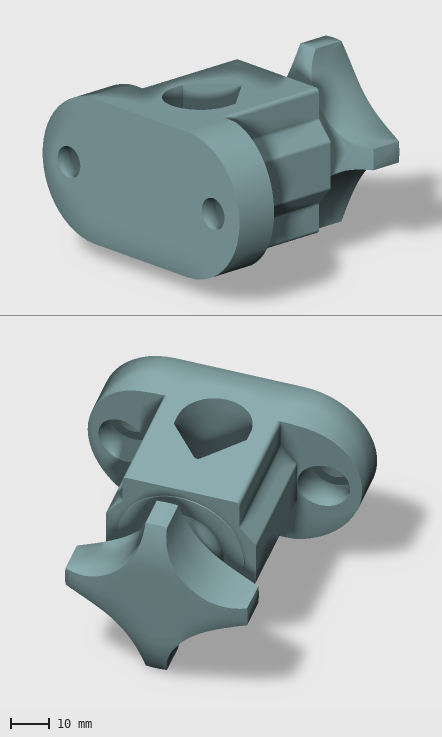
import cadquery as cq
import math

BASE_LENGTH = 75.0
BASE_HEIGHT = 39.9
BASE_STRAIGHT_HALF_LENGTH = 17.3
BASE_THICKNESS = 14.6
BASE_END_THICKNESS = 12.2

MOUNT_HOLE_X = 27.45
MOUNT_HOLE_DIAMETER = 8.6
COUNTERBORE_DIAMETER = 13.8
COUNTERBORE_FLOOR_Y = 4.9

BLOCK_HALF_WIDTH = 20.5
BLOCK_NARROW_HALF_WIDTH = 16.0
BLOCK_FLANK_HALF_HEIGHT = 6.45
BLOCK_STEP_HALF_HEIGHT = 11.55
BLOCK_END_Y = 48.0
BLOCK_CORNER_RADIUS = 1.1
BLOCK_INNER_RADIUS = 0.9
SEAT_DIAMETER = 34.65
SEAT_HEIGHT = 0.4

BORE_RADIUS = 10.0
BORE_CENTER_Y = 21.0
BORE_SHOULDER_Y = 24.15
BORE_APEX_Y = 35.8
BORE_APEX_RADIUS = 1.1

NECK_DIAMETER = 23.6
NECK_START_Y = BLOCK_END_Y + SEAT_HEIGHT
KNOB_START_Y = 55.6
KNOB_END_Y = 71.5
KNOB_RADIUS = 25.0
KNOB_RIM_THICKNESS = 9.1
KNOB_FLAT_RADIUS = 11.25
LOBE_COUNT = 4
LOBE_TIP_WIDTH = 5.85


def xz_plane(y):
    """Sketch plane at the given Y with local axes X and Z; a negative extrusion goes toward +Y."""
    return cq.Workplane("XZ", origin=(0, y, 0))


def cylinder_y(x, diameter, start_y, end_y):
    """Cylinder parallel to Y between two Y positions."""
    return xz_plane(start_y).center(x, 0).circle(diameter / 2).extrude(start_y - end_y)


def make_base():
    """Obround plate whose back face slopes down toward both ends."""
    half_length = BASE_LENGTH / 2
    half_height = BASE_HEIGHT / 2
    obround = (
        xz_plane(0)
        .moveTo(-BASE_STRAIGHT_HALF_LENGTH, -half_height)
        .lineTo(BASE_STRAIGHT_HALF_LENGTH, -half_height)
        .threePointArc((half_length, 0), (BASE_STRAIGHT_HALF_LENGTH, half_height))
        .lineTo(-BASE_STRAIGHT_HALF_LENGTH, half_height)
        .threePointArc((-half_length, 0), (-BASE_STRAIGHT_HALF_LENGTH, -half_height))
        .close()
        .extrude(-BASE_THICKNESS)
    )
    sloped_profile = (
        cq.Workplane("XY")
        .polyline([
            (-half_length, 0),
            (half_length, 0),
            (half_length, BASE_END_THICKNESS),
            (BLOCK_HALF_WIDTH, BASE_THICKNESS),
            (-BLOCK_HALF_WIDTH, BASE_THICKNESS),
            (-half_length, BASE_END_THICKNESS),
        ])
        .close()
        .extrude(half_height, both=True)
    )
    return obround.intersect(sloped_profile)


def make_block():
    """Clamp block with a stepped, slanted flank on each side and a round seat on its end."""
    top = BASE_HEIGHT / 2
    quarter = [
        (BLOCK_HALF_WIDTH, BLOCK_FLANK_HALF_HEIGHT),
        (BLOCK_NARROW_HALF_WIDTH, BLOCK_STEP_HALF_HEIGHT),
        (BLOCK_NARROW_HALF_WIDTH, top),
    ]
    upper = quarter + [(-x, z) for x, z in reversed(quarter)]
    lower = [(-x, -z) for x, z in upper]
    block = xz_plane(0).polyline(upper + lower).close().extrude(-BLOCK_END_Y)

    def edges_at(x, z):
        """Selector for the four mirrored lengthwise edges through (x, z)."""
        middle_y = BLOCK_END_Y / 2
        corners = [(sx * x, middle_y, sz * z) for sx in (-1, 1) for sz in (-1, 1)]
        selector = cq.selectors.NearestToPointSelector(corners[0])
        for corner in corners[1:]:
            selector = selector + cq.selectors.NearestToPointSelector(corner)
        return selector

    outer_corners = edges_at(*quarter[0]) + edges_at(*quarter[2])
    block = block.edges(outer_corners).fillet(BLOCK_CORNER_RADIUS)
    block = block.edges(edges_at(*quarter[1])).fillet(BLOCK_INNER_RADIUS)
    return block.union(cylinder_y(0, SEAT_DIAMETER, BLOCK_END_Y, NECK_START_Y))


def make_bore():
    """Teardrop cutter: round at the base side, pointed toward the knob."""
    return (
        cq.Workplane("XY")
        .moveTo(BORE_RADIUS, BORE_CENTER_Y)
        .lineTo(BORE_RADIUS, BORE_SHOULDER_Y)
        .lineTo(0, BORE_APEX_Y)
        .lineTo(-BORE_RADIUS, BORE_SHOULDER_Y)
        .lineTo(-BORE_RADIUS, BORE_CENTER_Y)
        .threePointArc((0, BORE_CENTER_Y - BORE_RADIUS), (BORE_RADIUS, BORE_CENTER_Y))
        .close()
        .extrude(BASE_HEIGHT / 2, both=True)
        .edges("|Z and >Y")
        .fillet(BORE_APEX_RADIUS)
    )


def make_housing():
    """Base and clamp block in one piece, with the bore and the counterbored mounting holes."""
    housing = make_base().union(make_block()).cut(make_bore())
    for x in (-MOUNT_HOLE_X, MOUNT_HOLE_X):
        housing = housing.cut(cylinder_y(x, MOUNT_HOLE_DIAMETER, 0, BASE_THICKNESS))
        housing = housing.cut(cylinder_y(x, COUNTERBORE_DIAMETER, COUNTERBORE_FLOOR_Y, BASE_THICKNESS))
    return housing


def dome_midpoint(rim_end_y):
    """Halfway point of the dome arc that leaves the flat end face tangentially."""
    run = KNOB_RADIUS - KNOB_FLAT_RADIUS
    drop = KNOB_END_Y - rim_end_y
    arc_radius = (run**2 + drop**2) / (2 * drop)
    half_angle = math.asin(run / arc_radius) / 2
    x = KNOB_FLAT_RADIUS + arc_radius * math.sin(half_angle)
    y = KNOB_END_Y - arc_radius * (1 - math.cos(half_angle))
    return (x, y)


def make_knob():
    """Knob head with domed faces, scalloped into lobes, on a round neck."""
    middle_y = (KNOB_START_Y + KNOB_END_Y) / 2
    rim_start_y = middle_y - KNOB_RIM_THICKNESS / 2
    rim_end_y = middle_y + KNOB_RIM_THICKNESS / 2
    head = (
        cq.Workplane("XY")
        .moveTo(0, KNOB_START_Y)
        .lineTo(KNOB_FLAT_RADIUS, KNOB_START_Y)
        .tangentArcPoint((KNOB_RADIUS, rim_start_y), relative=False)
        .lineTo(KNOB_RADIUS, rim_end_y)
        .threePointArc(dome_midpoint(rim_end_y), (KNOB_FLAT_RADIUS, KNOB_END_Y))
        .lineTo(0, KNOB_END_Y)
        .close()
        .revolve(360, (0, 0, 0), (0, 1, 0))
    )

    scallop_radius = KNOB_RADIUS - LOBE_TIP_WIDTH / 2
    scallop_distance = KNOB_RADIUS * math.sqrt(2)
    scallop = cylinder_y(scallop_distance, 2 * scallop_radius, KNOB_START_Y, KNOB_END_Y)
    for index in range(LOBE_COUNT):
        angle = (index + 0.5) * 360 / LOBE_COUNT
        head = head.cut(scallop.rotate((0, 0, 0), (0, 1, 0), angle))
    return head.union(cylinder_y(0, NECK_DIAMETER, NECK_START_Y, KNOB_START_Y))


housing = make_housing()
knob = make_knob()

result = cq.Compound.makeCompound([housing.val(), knob.val()])